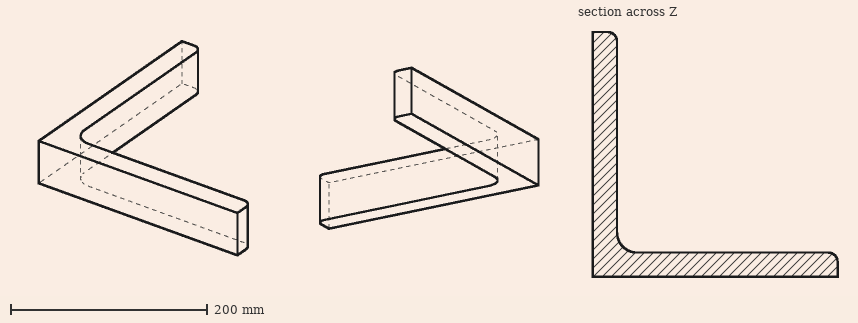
import cadquery as cq

leg_length = 250.0
leg_thickness = 25.0
height = 50.0
root_radius = 20.0
toe_radius = 10.0

angle = (
    cq.Workplane("XY")
    .polyline([
        (0, 0),
        (leg_length, 0),
        (leg_length, leg_thickness),
        (leg_thickness, leg_thickness),
        (leg_thickness, leg_length),
        (0, leg_length),
    ])
    .close()
    .extrude(height)
)


def round_vertical_edge(body, x, y, radius):
    """Fillet the vertical edge that passes through (x, y)."""
    edge = cq.selectors.NearestToPointSelector((x, y, height / 2))
    return body.edges("|Z").edges(edge).fillet(radius)


angle = round_vertical_edge(angle, leg_thickness, leg_thickness, root_radius)
angle = round_vertical_edge(angle, leg_length, leg_thickness, toe_radius)
angle = round_vertical_edge(angle, leg_thickness, leg_length, toe_radius)

result = angle